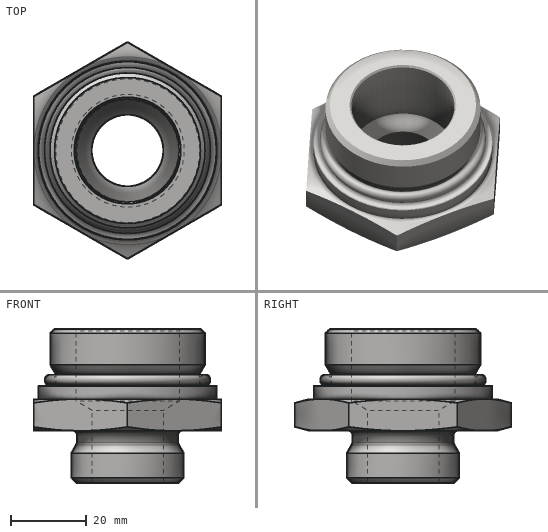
import cadquery as cq
import math

total_height = 41.1
hex_bottom = 13.95
hex_top = 22.4
collar_top = 26.0
lower_thread_top = 7.95
upper_thread_bottom = 31.6

lower_thread_diameter = 30.0
neck_diameter = 27.0
collar_diameter = 47.6
groove_diameter = 38.3
upper_thread_diameter = 41.3
bore_diameter = 19.0
socket_diameter = 27.5

across_corners = 57.75
across_flats = across_corners * math.cos(math.radians(30))
hex_chamfer_angle = 15.0
envelope_clearance = 0.6

lower_chamfer = (lower_thread_diameter - neck_diameter) / 2
upper_chamfer = 1.2
collar_chamfer = 0.2
socket_chamfer = 0.45
neck_fillet = 1.1
runout_fillet = 1.15
runout_angle = 30.0
selection_margin = 0.05

socket_bottom = 21.95
socket_cone_angle = 60.0

seal_section_diameter = 2.95


def runout_height(large_diameter, small_diameter):
    """Axial length of a conical run-out between two diameters."""
    return (large_diameter - small_diameter) / 2 / math.tan(math.radians(runout_angle))


def cylinder(diameter, bottom, top):
    return cq.Workplane("XY").workplane(offset=bottom).circle(diameter / 2).extrude(top - bottom)


def revolve_profile(points):
    """Revolve a closed (radius, height) outline about the Z axis."""
    return cq.Workplane("XZ").polyline(points).close().revolve(360, (0, 0, 0), (0, 1, 0))


def make_hexagon():
    """Hexagon with corners on the Y axis and both ends chamfered conically."""
    height = hex_top - hex_bottom
    rotation_to_corners_on_y = 30
    prism = (
        cq.Workplane("XY")
        .workplane(offset=hex_bottom)
        .polygon(6, across_corners)
        .extrude(height)
        .rotate((0, 0, 0), (0, 0, 1), rotation_to_corners_on_y)
    )
    flat_radius = across_flats / 2
    corner_radius = across_corners / 2
    outer_radius = corner_radius + envelope_clearance
    drop = (outer_radius - flat_radius) * math.tan(math.radians(hex_chamfer_angle))
    envelope = revolve_profile([
        (0, hex_bottom),
        (flat_radius, hex_bottom),
        (outer_radius, hex_bottom + drop),
        (outer_radius, hex_top - drop),
        (flat_radius, hex_top),
        (0, hex_top),
    ])
    return prism.intersect(envelope)


def make_lower_end():
    """Lower threaded end with its run-out, neck and root fillet."""
    thread_radius = lower_thread_diameter / 2
    neck_radius = neck_diameter / 2
    neck_bottom = lower_thread_top + runout_height(lower_thread_diameter, neck_diameter)
    spigot = revolve_profile([
        (0, 0),
        (thread_radius - lower_chamfer, 0),
        (thread_radius, lower_chamfer),
        (thread_radius, lower_thread_top),
        (neck_radius, neck_bottom),
        (neck_radius, hex_bottom),
        (0, hex_bottom),
    ])
    runout_corner = cq.selectors.BoxSelector(
        (-thread_radius, -thread_radius, neck_bottom - selection_margin),
        (thread_radius, thread_radius, neck_bottom + selection_margin),
    )
    spigot = spigot.edges(runout_corner).fillet(runout_fillet)
    root_fillet = (
        cq.Workplane("XZ")
        .moveTo(neck_radius, hex_bottom - neck_fillet)
        .radiusArc((neck_radius + neck_fillet, hex_bottom), neck_fillet)
        .lineTo(neck_radius, hex_bottom)
        .close()
        .revolve(360, (0, 0, 0), (0, 1, 0))
    )
    return spigot.union(root_fillet)


def make_collar():
    return cylinder(collar_diameter, hex_top, collar_top).faces(">Z").chamfer(collar_chamfer)


def make_upper_end():
    """Upper threaded end above the seal groove."""
    thread_radius = upper_thread_diameter / 2
    groove_radius = groove_diameter / 2
    groove_top = upper_thread_bottom - runout_height(upper_thread_diameter, groove_diameter)
    return revolve_profile([
        (0, collar_top),
        (groove_radius, collar_top),
        (groove_radius, groove_top),
        (thread_radius, upper_thread_bottom),
        (thread_radius, total_height - upper_chamfer),
        (thread_radius - upper_chamfer, total_height),
        (0, total_height),
    ])


def make_bore():
    """Through bore, conical transition and wide upper socket as one cutter."""
    bore_radius = bore_diameter / 2
    socket_radius = socket_diameter / 2
    cone_height = (socket_radius - bore_radius) / math.tan(math.radians(socket_cone_angle))
    return revolve_profile([
        (0, 0),
        (bore_radius, 0),
        (bore_radius, socket_bottom - cone_height),
        (socket_radius, socket_bottom),
        (socket_radius, total_height - socket_chamfer),
        (socket_radius + socket_chamfer, total_height),
        (0, total_height),
    ])


def make_fitting():
    outside = make_hexagon().union(make_lower_end()).union(make_collar()).union(make_upper_end())
    return outside.cut(make_bore())


def make_seal_ring():
    section_radius = seal_section_diameter / 2
    ring_radius = groove_diameter / 2 + section_radius
    center = cq.Vector(0, 0, collar_top + section_radius)
    return cq.Solid.makeTorus(ring_radius, section_radius, center, cq.Vector(0, 0, 1))


fitting = make_fitting()
seal_ring = make_seal_ring()
result = cq.Compound.makeCompound([fitting.val(), seal_ring])